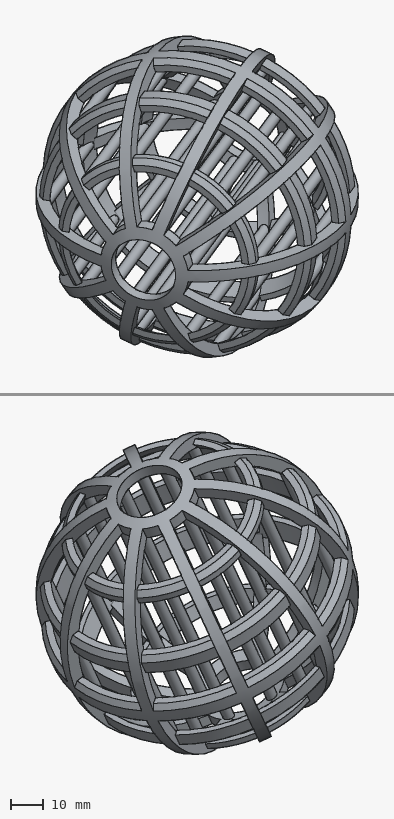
import cadquery as cq
import math

outer_radius = 49.57
wall = 4.0
inner_radius = outer_radius - wall

hub_hole_radius = 10.5
hub_radius = 14.35

rib_count = 10
rib_width = 4.0

ring_chamfer = 1.75
bore_flare = 2.15
equator_ring_width = 8.1
middle_ring_radius = 44.55
middle_ring_inner_face = 14.8
middle_ring_outer_face = 21.15
end_ring_radius = 32.3
end_ring_inner_face = 33.5
end_ring_outer_face = 37.55

rod_diameter = 3.65

rib_angles = [i * 360.0 / rib_count for i in range(rib_count)]


def y_cylinder(radius, y_start, y_end):
    """Solid cylinder about the Y axis."""
    return (
        cq.Workplane("XZ", origin=(0, y_start, 0))
        .circle(radius)
        .extrude(y_start - y_end)
    )


def mirrored_about_equator(body):
    """The body together with its mirror image in the XZ plane."""
    return body.union(body.mirror("XZ"))


def make_rib_blank():
    """Crossing plates and a polar bar, hollowed by the inner sphere."""
    blank = y_cylinder(hub_radius, -outer_radius, outer_radius)
    for angle in rib_angles[: rib_count // 2]:
        plate = cq.Workplane("XY").box(2 * outer_radius, 2 * outer_radius, rib_width)
        blank = blank.union(plate.rotate((0, 0, 0), (0, 1, 0), angle))
    return blank.cut(cq.Workplane("XY").sphere(inner_radius))


def make_equator_ring():
    """Ring around the widest place, chamfered on both outer corners."""
    half_width = equator_ring_width / 2
    ring = y_cylinder(outer_radius, -half_width, half_width).faces("<Y or >Y").chamfer(ring_chamfer)
    return ring.cut(y_cylinder(inner_radius, -half_width, half_width))


def make_envelope():
    """Solid ball bored through along Y by the polar openings."""
    pole_face = math.sqrt(outer_radius**2 - hub_hole_radius**2)
    profile = (
        cq.Workplane("XY")
        .moveTo(hub_hole_radius, -pole_face)
        .threePointArc((outer_radius, 0), (hub_hole_radius, pole_face))
        .close()
    )
    return profile.revolve(360, (0, 0, 0), (0, 1, 0))


def make_frame():
    """Ribs, hubs and equator ring, trimmed to the envelope."""
    return make_rib_blank().union(make_equator_ring()).intersect(make_envelope())


def make_side_ring(radius, inner_face, outer_face):
    """Ring on the +Y side: chamfered outer corner facing the pole, bore widening toward the equator."""
    bore_radius = radius - wall
    profile = [
        (bore_radius + bore_flare, inner_face),
        (radius, inner_face),
        (radius, outer_face - ring_chamfer),
        (radius - ring_chamfer, outer_face),
        (bore_radius, outer_face),
    ]
    return cq.Workplane("XY").polyline(profile).close().revolve(360, (0, 0, 0), (0, 1, 0))


def make_rods(circle_radius, half_length):
    """One rod behind every rib, spread over a circle about the Y axis."""
    centers = [
        (
            circle_radius * math.cos(math.radians(angle)),
            circle_radius * math.sin(math.radians(angle)),
        )
        for angle in rib_angles
    ]
    return (
        cq.Workplane("XZ")
        .pushPoints(centers)
        .circle(rod_diameter / 2)
        .extrude(half_length, both=True)
    )


hub_mid_radius = (hub_hole_radius + hub_radius) / 2
hub_rod_end = math.sqrt((outer_radius - wall / 2) ** 2 - hub_mid_radius**2)

result = make_frame()

for radius, inner_face, outer_face in (
    (middle_ring_radius, middle_ring_inner_face, middle_ring_outer_face),
    (end_ring_radius, end_ring_inner_face, end_ring_outer_face),
):
    ring = make_side_ring(radius, inner_face, outer_face)
    result = result.union(mirrored_about_equator(ring))
    result = result.union(make_rods(radius - wall / 2, outer_face - ring_chamfer))

result = result.union(make_rods(hub_mid_radius, hub_rod_end))